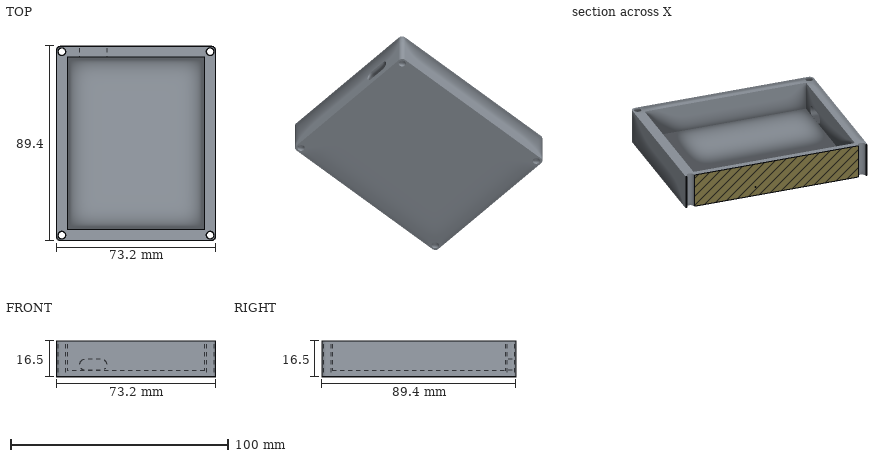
import cadquery as cq

length_x = 73.2
length_y = 89.4
height = 16.5
wall = 5.0
floor_thickness = 3.0
corner_radius = 2.0

screw_diameter = 3.4
screw_inset = wall / 2

slot_height = 5.0
slot_length = 12.5
slot_right_end = -13.4
slot_sill = 0.1


def make_tray():
    """Rounded block with a sharp-cornered pocket open at the top."""
    block = cq.Workplane("XY").box(length_x, length_y, height, centered=(True, True, False))
    block = block.edges("|Z").fillet(corner_radius)
    pocket = (
        cq.Workplane("XY", origin=(0, 0, floor_thickness))
        .rect(length_x - 2 * wall, length_y - 2 * wall)
        .extrude(height - floor_thickness)
    )
    return block.cut(pocket)


def make_screw_holes():
    """Four vertical through holes, one at each corner."""
    return (
        cq.Workplane("XY")
        .rect(length_x - 2 * screw_inset, length_y - 2 * screw_inset, forConstruction=True)
        .vertices()
        .circle(screw_diameter / 2)
        .extrude(height)
    )


def make_cable_slot():
    """Horizontal slot running from the outer +Y face into the pocket."""
    slot_x = slot_right_end - slot_length / 2
    slot_z = floor_thickness + slot_sill + slot_height / 2
    return (
        cq.Workplane("XZ", origin=(slot_x, length_y / 2, slot_z))
        .slot2D(slot_length, slot_height)
        .extrude(wall)
    )


result = make_tray().cut(make_screw_holes()).cut(make_cable_slot())